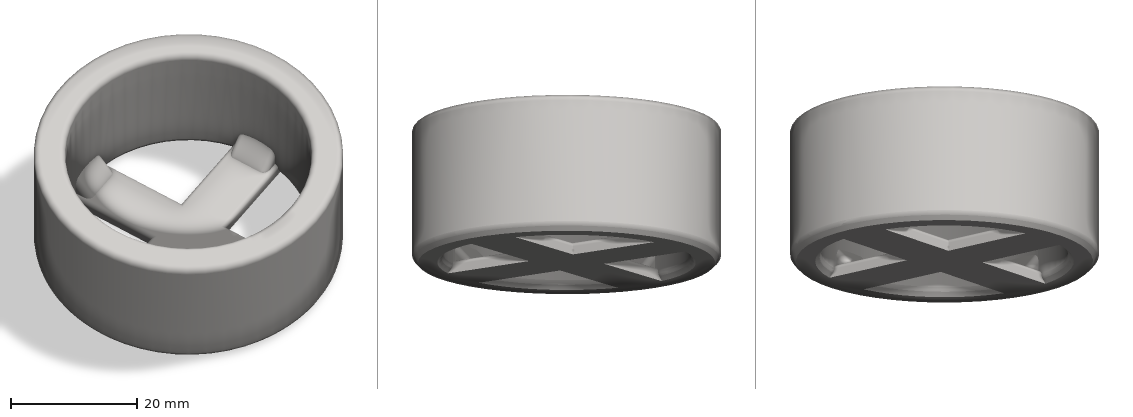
import cadquery as cq

outer_diameter = 49.0
inner_diameter = 39.0
height = 22.0
edge_radius = 1.0
bottom_chamfer = 1.0

arm_count = 4
arm_width = 8.55
arm_thickness = 2.0
arm_edge_radius = 0.7

wedge_width = arm_width - 2 * arm_edge_radius
wedge_start = 16.4
wedge_slope = 1.0

inner_radius = inner_diameter / 2
wall_middle = (outer_diameter / 2 + inner_radius) / 2


def make_ring():
    ring = cq.Workplane("XY").circle(outer_diameter / 2).circle(inner_radius).extrude(height)
    ring = ring.faces(">Z").edges().fillet(edge_radius)
    ring = ring.faces("<Z").edges().chamfer(bottom_chamfer)
    chamfer_top = cq.selectors.CenterNthSelector(cq.Vector(0, 0, 1), 1)
    return ring.edges("%CIRCLE").edges(chamfer_top).fillet(edge_radius)


def make_cross():
    arm_length = 2 * wall_middle
    centered = (True, True, False)
    cross = cq.Workplane("XY").box(arm_length, arm_width, arm_thickness, centered=centered)
    cross = cross.union(cq.Workplane("XY").box(arm_width, arm_length, arm_thickness, centered=centered))
    return cross.faces(">Z").edges().fillet(arm_edge_radius)


def make_wedge():
    run = wall_middle - wedge_start
    top = arm_thickness + wedge_slope * run
    wedge = (
        cq.Workplane("XZ")
        .moveTo(wedge_start, arm_thickness)
        .lineTo(wall_middle, top)
        .lineTo(wall_middle, arm_thickness)
        .close()
        .extrude(wedge_width / 2, both=True)
    )
    return wedge.edges("not(|X or |Y or |Z)").fillet(edge_radius)


result = make_ring().union(make_cross())
for arm in range(arm_count):
    result = result.union(make_wedge().rotate((0, 0, 0), (0, 0, 1), 360 / arm_count * arm))